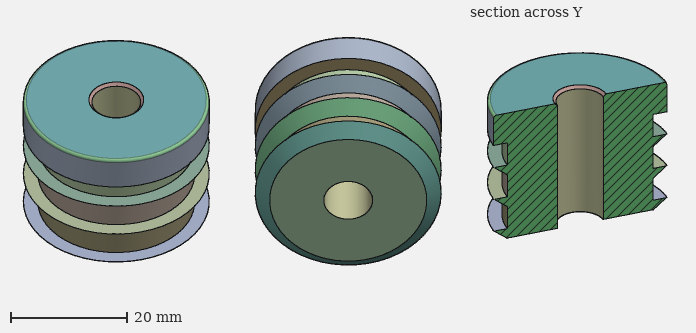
import cadquery as cq

outer_diameter = 32.0
height = 25.0

head_height = 6.0
core_diameter = 27.0
bore_diameter = 8.4
head_edge_radius = 0.5
bore_chamfer = 0.5

fin_count = 3
fin_height = 2.0
core_height = height - head_height
fin_pitch = core_height / fin_count


def make_head():
    """Flat disc with a rounded upper rim."""
    disc = cq.Workplane("XY").workplane(offset=core_height).circle(outer_diameter / 2).extrude(head_height)
    return disc.faces(">Z").edges().fillet(head_edge_radius)


def make_fin(base_z):
    """Cone that widens upward from the core to a sharp, flat-topped rim."""
    return (
        cq.Workplane("XY")
        .workplane(offset=base_z)
        .circle(core_diameter / 2)
        .workplane(offset=fin_height)
        .circle(outer_diameter / 2)
        .loft(ruled=True)
    )


core = cq.Workplane("XY").circle(core_diameter / 2).extrude(core_height)
body = core.union(make_head())
for index in range(fin_count):
    body = body.union(make_fin(index * fin_pitch))

bore = cq.Workplane("XY").circle(bore_diameter / 2).extrude(height)
bore_mouth = (
    cq.Workplane("XY")
    .workplane(offset=height - bore_chamfer)
    .circle(bore_diameter / 2)
    .workplane(offset=bore_chamfer)
    .circle(bore_diameter / 2 + bore_chamfer)
    .loft(ruled=True)
)

result = body.cut(bore).cut(bore_mouth)